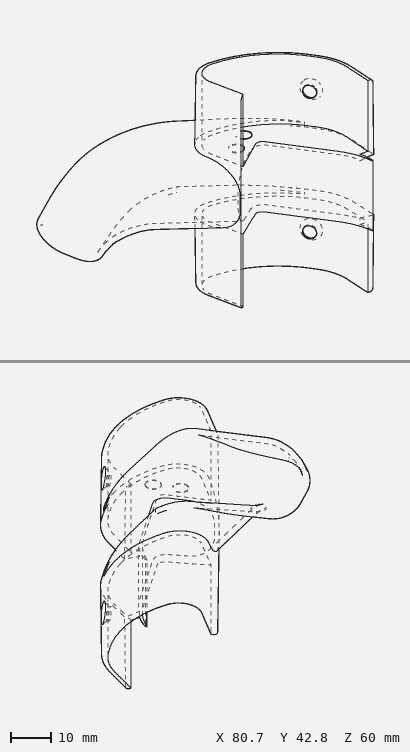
import cadquery as cq
import math


clip_height = 60.0
clip_wall = 1.9
clip_draft = 0.7
clip_rim_round = 1.0
clip_back = 12.3
flat_start = 8.8
flat_end = 12.4
front_corner = (0, -15.4)
front_bend = (-10.2, -11.1)
nose_end = (-13.2, 1.1)
tip_bend = (22.1, 9.05)
clip_tip = (29.2, 3.4)
overrun = 5.65
screw_hole_diameter = 3.6
screw_hole_z = 19.9
screw_hole_land = 0.6
relief_angle = 90.0

channel_half_height = 10.4
channel_draft_plane = 16.15
channel_draft = 1.7
channel_wall = 1.5
channel_depth = 60.6
notch_wall = 1.05
notch_round = 1.85
notch_inner_round = 3.4
mark_radius = 2.0
mark_depth = 0.2
mark_places = [(-4.0, 2.0), (-4.0, -4.9)]

fin_start = 20.9
fin_tip = (30.5, -2.6)
fin_tip_thickness = 0.4

slant = 19.7
tail_front_y = -15.3
tail_front_round = 7.6
tail_rear_y = 4.7
bend_x = -22.05
bend_z = -22.9
bend_angle = 62.0
bend_overrun = 12.0
tail_corner_radius = 22.6
lip_round = 0.4
lip_allowance = 1.3
bend_clear_inner = 6.5
bend_clear_outer = 48.5
rear_edge_steps = 12

big = 161.5
slant_slope = math.tan(math.radians(slant))


def unit(start, end):
    length = math.dist(start, end)
    return ((end[0] - start[0]) / length, (end[1] - start[1]) / length)


def along(point, direction, distance):
    return (point[0] + direction[0] * distance, point[1] + direction[1] * distance)


def clip_outline():
    """Outside of the clip in plan, run on past both wall ends and closed."""
    front_run = unit(front_bend, front_corner)
    tip_run = unit(tip_bend, clip_tip)
    return (
        cq.Workplane("XY")
        .moveTo(*along(front_corner, front_run, overrun))
        .lineTo(*front_bend)
        .tangentArcPoint(nose_end, relative=False)
        .tangentArcPoint((flat_start, clip_back), relative=False)
        .lineTo(flat_end, clip_back)
        .tangentArcPoint(tip_bend, relative=False)
        .lineTo(*along(clip_tip, tip_run, overrun))
        .close()
    )


def end_trim():
    """Everything beyond the square-cut far end of the clip wall."""
    tip_run = unit(tip_bend, clip_tip)
    corner = cq.Plane(origin=(*clip_tip, 0), xDir=(*tip_run, 0), normal=(0, 0, 1))
    return cq.Workplane(corner).box(big, big, big, centered=(False, True, True))


def notch():
    """Square corner of the notch."""
    return cq.Workplane("XY").box(big, big, big, centered=(False, False, True)).translate((0, -big, 0))


def filled_clip():
    """Clip before it is hollowed out."""
    half = clip_outline().extrude(clip_height / 2, taper=clip_draft)
    half = half.faces(">Z").edges().fillet(clip_rim_round)
    return half.union(half.mirror("XY")).cut(end_trim())


def clip():
    """Curved wall of the clip, open at the notch."""
    inside = clip_outline().offset2D(-clip_wall).extrude(big, both=True)
    return filled_clip().cut(inside).cut(notch())


def channel_body(inset):
    """Drafted bar that runs along X and bends down at its -X end."""
    half_height = channel_half_height - inset
    outer = half_height - bend_z
    inner = -half_height - bend_z
    sweep = bend_angle + bend_overrun

    def on_bend(radius, angle):
        turn = math.radians(angle)
        return (bend_x - radius * math.sin(turn), bend_z + radius * math.cos(turn))

    return (
        cq.Workplane("XZ", origin=(0, channel_draft_plane, 0))
        .moveTo(big / 2, half_height)
        .lineTo(bend_x, half_height)
        .threePointArc(on_bend(outer, sweep / 2), on_bend(outer, sweep))
        .lineTo(*on_bend(inner, sweep))
        .threePointArc(on_bend(inner, sweep / 2), (bend_x, -half_height))
        .lineTo(big / 2, -half_height)
        .close()
        .extrude(channel_depth, taper=channel_draft)
    )


def tail_body(inset):
    """Channel body with a slanted, rounded front, running on past the notch."""
    slanted = cq.Plane(origin=(0, tail_front_y, 0), normal=(0, 0, 1)).rotated((0, 0, slant))
    front = cq.Workplane(slanted).center(0, inset - big).box(2 * big, big, big, centered=(True, False, True))
    body = channel_body(inset).cut(front)
    wall = body.faces(cq.selectors.ParallelDirSelector(slanted.yDir, 0.01))
    long_edges = [edge for edge in wall.edges().vals() if edge.BoundingBox().xlen > big / 4]
    return body.newObject(long_edges).fillet(tail_front_round - inset)


def rear_edge(angle, radius):
    """Point on the rear edge of the bent plates, with the edge an arc on the unrolled outer plate."""
    plate_radius = channel_half_height - bend_z
    arc_length = plate_radius * math.radians(angle)
    tail_length = plate_radius * math.radians(bend_angle)
    sin_slant = math.sin(math.radians(slant))
    cos_slant = math.cos(math.radians(slant))
    tangent_length = tail_length - tail_corner_radius * (1 - sin_slant)
    straight_drop = slant_slope * tangent_length
    if arc_length < tangent_length:
        y = tail_rear_y - slant_slope * arc_length
    else:
        reach = arc_length - tail_length + tail_corner_radius
        arc_drop = tail_corner_radius * cos_slant - math.sqrt(max(tail_corner_radius**2 - reach**2, 0))
        y = tail_rear_y - straight_drop - arc_drop
    turn = math.radians(angle)
    return cq.Vector(bend_x - radius * math.sin(turn), y, bend_z + radius * math.cos(turn))


def bend_rear_trim():
    """Everything behind the rear edge of the bend, ruled towards the bend axis."""
    angles = [bend_angle * step / rear_edge_steps for step in range(rear_edge_steps + 1)]
    edges = []
    for radius in (bend_clear_inner, bend_clear_outer):
        points = [rear_edge(angle, radius) for angle in angles]
        edges.append(cq.Edge.makeSpline(points, parameters=angles))
    rear_face = cq.Face.makeRuledSurface(*edges)
    return cq.Workplane(cq.Solid.extrudeLinear(rear_face, cq.Vector(0, big, 0)))


def straight_rear_trim():
    """Everything behind the straight part of the tail, whose rear edge eases into the back of the clip."""
    corner = (bend_x + (clip_back - tail_rear_y) / slant_slope, clip_back)
    tangent_length = flat_start - corner[0]
    ease_start = along(corner, unit(corner, (bend_x, tail_rear_y)), tangent_length)
    return (
        cq.Workplane("XY")
        .moveTo(bend_x, tail_rear_y)
        .lineTo(*ease_start)
        .tangentArcPoint((flat_start, clip_back), relative=False)
        .lineTo(flat_start, big)
        .lineTo(bend_x, big)
        .close()
        .extrude(big, both=True)
    )


def tail_end_trim():
    """Everything past the square-cut end of the bend."""
    turn = math.radians(bend_angle)
    plane = cq.Plane(
        origin=(bend_x, 0, bend_z), xDir=(-math.cos(turn), 0, -math.sin(turn)), normal=(0, -1, 0)
    )
    return cq.Workplane(plane).box(big, big, big, centered=(False, True, True))


def block():
    """Part of the channel inside the clip outline."""
    return filled_clip().intersect(channel_body(0))


def tail():
    """Filled tail, which reaches into the clip as far as the back flat."""
    past_flat = cq.Workplane("XY", origin=(flat_start, 0, 0)).box(big, big, big, centered=(False, True, True))
    body = tail_body(0).cut(past_flat)
    return body.cut(straight_rear_trim()).cut(bend_rear_trim()).cut(tail_end_trim())


def fin_arc_middle(start, end):
    """Middle of the arc that leaves start along +X and ends at end."""
    run = end[0] - start[0]
    drop = start[1] - end[1]
    radius = (run**2 + drop**2) / (2 * drop)
    half_turn = math.atan2(drop, run)
    return (start[0] + radius * math.sin(half_turn), start[1] - radius * (1 - math.cos(half_turn)))


def front_wall():
    """Notch wall and fin, as tall as the channel."""
    lower_end = front_corner[1] + notch_wall
    inner_start = (fin_start, notch_wall)
    outer_start = (fin_start, 0)
    inner_tip = (fin_tip[0], fin_tip[1] + fin_tip_thickness)
    plan = (
        cq.Workplane("XY")
        .moveTo(-notch_wall, lower_end)
        .lineTo(-notch_wall, notch_wall - notch_inner_round)
        .tangentArcPoint((notch_inner_round - notch_wall, notch_wall), relative=False)
        .lineTo(*inner_start)
        .threePointArc(fin_arc_middle(inner_start, inner_tip), inner_tip)
        .lineTo(*fin_tip)
        .threePointArc(fin_arc_middle(outer_start, fin_tip), outer_start)
        .lineTo(notch_round, 0)
        .tangentArcPoint((0, -notch_round), relative=False)
        .lineTo(0, lower_end)
        .close()
    )
    return plan.extrude(big, both=True).intersect(channel_body(0))


def screw_holes():
    """Holes through the back of the clip, opening out behind a short straight land."""
    middle = (flat_start + flat_end) / 2
    inside = clip_back - clip_wall
    relief_start = inside + screw_hole_land
    places = [(middle, screw_hole_z), (middle, -screw_hole_z)]
    radius = screw_hole_diameter / 2
    bores = cq.Workplane("XZ").pushPoints(places).circle(radius).extrude(-big)
    reliefs = (
        cq.Workplane("XZ", origin=(0, relief_start, 0))
        .pushPoints(places)
        .circle(radius)
        .extrude(-clip_wall, taper=-relief_angle / 2)
    )
    return bores.union(reliefs)


def plate_marks():
    """Round marks sunk into the upper plate."""
    rods = cq.Workplane("XY").pushPoints(mark_places).circle(mark_radius).extrude(big)
    return rods.cut(channel_body(0).translate((0, 0, -mark_depth)))


def hollow_tail():
    """Tail shell with its open edges rounded."""
    solid = tail().cut(tail_body(channel_wall))
    lip = []
    for face in solid.faces().vals():
        edges = face.Edges()
        strip_area = channel_wall * sum(edge.Length() for edge in edges) / 2
        if face.Area() < lip_allowance * strip_area and face.normalAt().x < 0:
            lip += [edge for edge in edges if edge.Length() > lip_allowance * channel_wall]
    return solid.newObject(lip).fillet(lip_round)


shell = clip().union(block()).cut(tail_body(channel_wall)).union(hollow_tail())
result = (
    shell.cut(notch())
    .union(front_wall())
    .cut(screw_holes())
    .cut(plate_marks())
)